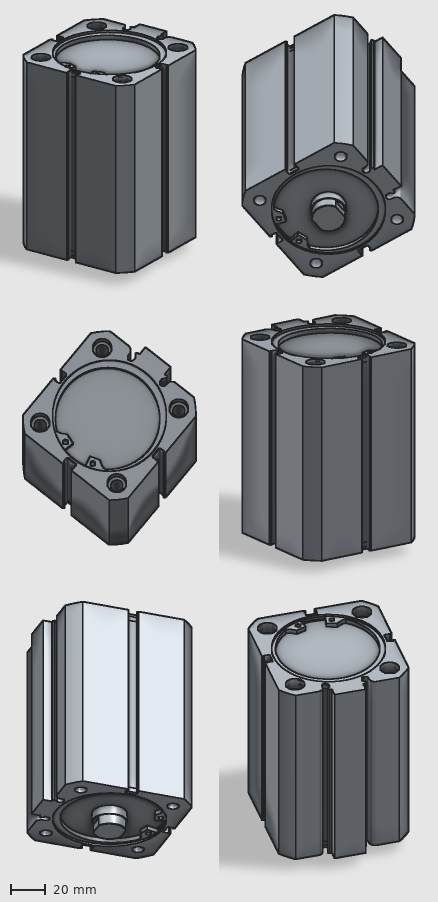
import cadquery as cq
import math


width = 77.5
half_width = width / 2
overall_depth = 83.0
overall_height = 124.0
rod_reach = 7.7
height = overall_height - rod_reach
corner_radius = 49.6
bore_radius = 32.6

hole_spacing = 56.4
hole_diameter = 7.0
counterbore_diameter = 10.9
counterbore_depth = 7.1

slot_opening = 5.1
slot_inner_width = 6.8
slot_depth = 4.6
slot_lip = 1.1
slot_lip_chamfer = 0.6
slot_floor_round = 0.6

rail_half_width = 9.3
rail_top = overall_depth - half_width
groove_inner_x = 9.8
groove_outer_x = 13.9
groove_radius = (groove_outer_x - groove_inner_x) / 2
groove_center_x = (groove_outer_x + groove_inner_x) / 2
groove_center_y = 34.3
groove_lip_radius = 3.5
nib_bottom_y = 35.6
nib_tip_x = 11.5
nib_tip_y = 37.8
nib_top_x = 10.7

ring_inset = 1.4
ring_thickness = 2.7
ring_seat_wall = 0.2
ring_seat_radius = half_width - slot_depth - ring_seat_wall
ring_levels = (ring_inset, height - ring_inset - ring_thickness)
ring_inner_radius = 29.9
ring_inner_offset = 1.7
lug_valley_start_x = 17.9
lug_valley_mid = (16.5, -25.7)
lug_valley_end = (15.1, -25.3)
lug_peak = (12.0, -23.4)
lug_corner = (6.1, -25.4)
lug_foot = (6.1, -25.5)
lug_hole = (10.0, -27.7)
lug_hole_radius = 1.5

cover_inset = ring_inset + ring_thickness
head_cover_thickness = 9.9
head_cover_z = height - cover_inset - head_cover_thickness
rod_cover_thickness = 19.8
rod_radius = 10.0
rod_end_radius = 9.5
rod_shoulder_z = -1.4
rod_tip_chamfer = 0.2
flat_distance = 8.3
flat_top_z = -2.7


def slot_cutter(angle):
    """T slot along the whole housing, cut into the side that faces `angle` degrees from +X."""
    inner_length = slot_depth - slot_lip
    cavity = (
        cq.Workplane("XY")
        .center(half_width - slot_depth + inner_length / 2, 0)
        .rect(inner_length, slot_inner_width)
        .extrude(height)
        .edges("|Z and <X")
        .fillet(slot_floor_round)
    )
    half_opening = slot_opening / 2
    mouth = (
        cq.Workplane("XY")
        .moveTo(half_width - slot_depth, -half_opening)
        .lineTo(half_width - slot_lip_chamfer, -half_opening)
        .lineTo(half_width, -half_opening - slot_lip_chamfer)
        .lineTo(half_width, half_opening + slot_lip_chamfer)
        .lineTo(half_width - slot_lip_chamfer, half_opening)
        .lineTo(half_width - slot_depth, half_opening)
        .close()
        .extrude(height)
    )
    return cavity.union(mouth).rotate((0, 0, 0), (0, 0, 1), angle)


def rail_groove_cutter():
    """Groove on the +X flank of the rail, with its rounded floor, nib and rounded outer lip."""
    floor_y = groove_center_y - groove_radius
    lip_center_x = groove_outer_x + groove_lip_radius
    lip_center_y = half_width - groove_lip_radius
    lip_mid = groove_lip_radius * math.sqrt(0.5)
    return (
        cq.Workplane("XY")
        .moveTo(rail_half_width, half_width)
        .lineTo(nib_top_x, half_width)
        .lineTo(nib_tip_x, nib_tip_y)
        .lineTo(groove_inner_x, nib_bottom_y)
        .lineTo(groove_inner_x, groove_center_y)
        .threePointArc((groove_center_x, floor_y), (groove_outer_x, groove_center_y))
        .lineTo(groove_outer_x, lip_center_y)
        .threePointArc((lip_center_x - lip_mid, lip_center_y + lip_mid), (lip_center_x, half_width))
        .lineTo(lip_center_x, rail_top)
        .lineTo(rail_half_width, rail_top)
        .close()
        .extrude(height)
    )


def make_housing():
    body = (
        cq.Workplane("XY")
        .rect(width, width)
        .extrude(height)
        .intersect(cq.Workplane("XY").circle(corner_radius).extrude(height))
    )
    rail = (
        cq.Workplane("XY")
        .center(0, (bore_radius + rail_top) / 2)
        .rect(2 * rail_half_width, rail_top - bore_radius)
        .extrude(height)
    )
    body = body.union(rail)
    groove = rail_groove_cutter()
    body = body.cut(groove).cut(groove.mirror("YZ"))
    for angle in (0, 180, 270):
        body = body.cut(slot_cutter(angle))
    body = (
        body.faces(">Z")
        .workplane(origin=(0, 0, height))
        .rect(hole_spacing, hole_spacing, forConstruction=True)
        .vertices()
        .cboreHole(hole_diameter, counterbore_diameter, counterbore_depth)
    )
    body = body.cut(cq.Workplane("XY").circle(bore_radius).extrude(height))
    for seat_z in ring_levels:
        seat = cq.Workplane("XY", origin=(0, 0, seat_z)).circle(ring_seat_radius).extrude(ring_thickness)
        body = body.cut(seat)
    return body


def mirrored(point):
    return (-point[0], point[1])


def make_retaining_ring(bottom_z):
    """Eccentric ring, open towards -Y, with a drilled lug at each end."""
    valley_drop = math.sqrt(ring_inner_radius**2 - lug_valley_start_x**2)
    valley_start = (lug_valley_start_x, -ring_inner_offset - valley_drop)
    foot_scale = ring_seat_radius / math.hypot(*lug_foot)
    outer_foot = (lug_foot[0] * foot_scale, lug_foot[1] * foot_scale)
    return (
        cq.Workplane("XY", origin=(0, 0, bottom_z))
        .moveTo(*outer_foot)
        .threePointArc((0, ring_seat_radius), mirrored(outer_foot))
        .lineTo(*mirrored(lug_corner))
        .lineTo(*mirrored(lug_peak))
        .lineTo(*mirrored(lug_valley_end))
        .threePointArc(mirrored(lug_valley_mid), mirrored(valley_start))
        .threePointArc((0, ring_inner_radius - ring_inner_offset), valley_start)
        .threePointArc(lug_valley_mid, lug_valley_end)
        .lineTo(*lug_peak)
        .lineTo(*lug_corner)
        .close()
        .pushPoints([lug_hole, mirrored(lug_hole)])
        .circle(lug_hole_radius)
        .extrude(ring_thickness)
    )


def make_head_cover():
    return (
        cq.Workplane("XY", origin=(0, 0, head_cover_z))
        .circle(bore_radius)
        .extrude(head_cover_thickness)
    )


def make_rod_cover():
    return (
        cq.Workplane("XY", origin=(0, 0, cover_inset))
        .circle(bore_radius)
        .circle(rod_radius)
        .extrude(rod_cover_thickness)
    )


def make_rod():
    """Rod up to the head cover, with a slimmer end that carries two wrench flats across Y."""
    shank = (
        cq.Workplane("XY", origin=(0, 0, rod_shoulder_z))
        .circle(rod_radius)
        .extrude(head_cover_z - rod_shoulder_z)
    )
    end = (
        cq.Workplane("XY", origin=(0, 0, -rod_reach))
        .circle(rod_end_radius)
        .extrude(rod_reach + rod_shoulder_z)
        .faces("<Z")
        .chamfer(rod_tip_chamfer)
    )
    runout = rod_shoulder_z - flat_top_z
    flat = (
        cq.Workplane("YZ", origin=(-rod_radius, 0, 0))
        .moveTo(flat_distance, -rod_reach)
        .lineTo(flat_distance, flat_top_z)
        .lineTo(flat_distance + runout, rod_shoulder_z)
        .lineTo(flat_distance + rod_radius, rod_shoulder_z)
        .lineTo(flat_distance + rod_radius, -rod_reach)
        .close()
        .extrude(2 * rod_radius)
    )
    return shank.union(end.cut(flat).cut(flat.mirror("XZ")))


housing = make_housing()
head_cover = make_head_cover()
rod_cover = make_rod_cover()
rod = make_rod()
retaining_rings = []
for ring_z in ring_levels:
    retaining_rings.append(make_retaining_ring(ring_z).val())

result = cq.Compound.makeCompound(
    [housing.val(), head_cover.val(), rod_cover.val(), rod.val(), *retaining_rings]
)